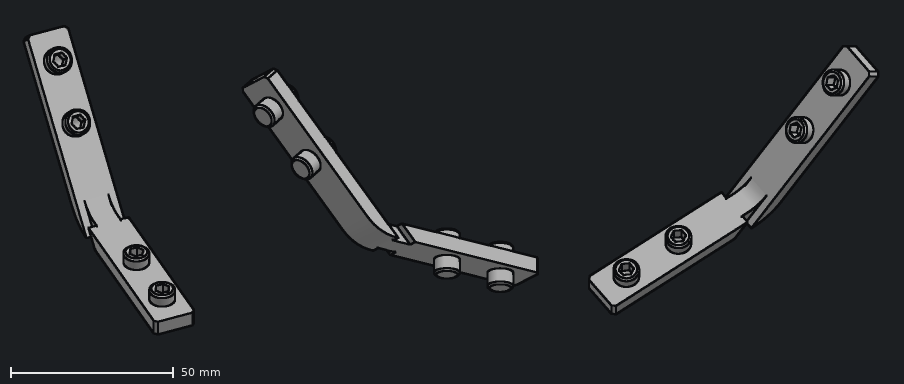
import cadquery as cq
import math

bend_angle = 45.0
total_length = 102.4
bar_width = 13.5
bar_thickness = 5.0
inner_bend_radius = 10.0
end_chamfer = 1.0

neck_width = 8.0
relief_width = 4.5

screw_diameter = 8.0
screw_tip_diameter = 6.7
screw_length = 14.0
screw_rise = 4.0
screw_end_distance = 10.0
screw_spacing = 20.0
socket_flats = 4.0
socket_depth = 4.0
socket_cone_angle = 118.0
hexagon_sides = 6

cos_bend = math.cos(math.radians(bend_angle))
sin_bend = math.sin(math.radians(bend_angle))
leg_length = (total_length - bar_thickness * sin_bend) / (1 + cos_bend)
outer_bend_radius = inner_bend_radius + bar_thickness
screw_chamfer = (screw_diameter - screw_tip_diameter) / 2
outer_screw_distance = leg_length - screw_end_distance
screw_distances = [outer_screw_distance - screw_spacing, outer_screw_distance]


def tilt(body):
    """Swing a body about the bend line, from the flat leg's plane to the tilted leg's plane."""
    return body.rotate((0, 0, 0), (0, 1, 0), bend_angle)


def arm_point(along, below):
    """XZ point on the tilted leg, measured along its inner face and below it."""
    return (-along * cos_bend - below * sin_bend, along * sin_bend - below * cos_bend)


def make_bend_profile():
    """Side outline of the bar, extruded over its width."""
    tangent_length = inner_bend_radius * math.tan(math.radians(bend_angle / 2))
    half_angle = math.radians(bend_angle / 2)

    def arc_middle(radius):
        return (
            tangent_length - radius * math.sin(half_angle),
            inner_bend_radius - radius * math.cos(half_angle),
        )

    return (
        cq.Workplane("XZ")
        .moveTo(leg_length, 0)
        .lineTo(tangent_length, 0)
        .threePointArc(arc_middle(inner_bend_radius), arm_point(tangent_length, 0))
        .lineTo(*arm_point(leg_length, 0))
        .lineTo(*arm_point(leg_length, bar_thickness))
        .lineTo(*arm_point(tangent_length, bar_thickness))
        .threePointArc(arc_middle(outer_bend_radius), (tangent_length, -bar_thickness))
        .lineTo(leg_length, -bar_thickness)
        .close()
        .extrude(bar_width / 2, both=True)
    )


def make_relief_cuts():
    """Slots parallel to the tilted leg, starting at its inner face, that leave a central neck."""
    slot_length = 2 * outer_bend_radius
    slot = tilt(
        cq.Workplane("XY").box(slot_length, bar_width, relief_width, centered=(True, True, False))
    )
    neck = cq.Workplane("XY").box(2 * slot_length, neck_width, 2 * slot_length)
    return slot.cut(neck)


def make_bracket():
    """Bent bar with chamfered end corners, relief cuts and a fitting hole for each screw."""
    bracket = make_bend_profile()
    bracket = bracket.faces(">X").edges("|Z").chamfer(end_chamfer)
    arm_end = cq.Vector(-cos_bend, 0, sin_bend)
    arm_normal = cq.Vector(sin_bend, 0, cos_bend)
    bracket = (
        bracket.faces(cq.selectors.DirectionMinMaxSelector(arm_end))
        .edges(cq.selectors.ParallelDirSelector(arm_normal))
        .chamfer(end_chamfer)
    )
    bracket = bracket.cut(make_relief_cuts())
    for distance in screw_distances:
        screw_blank = make_screw_blank()
        bracket = bracket.cut(screw_blank.translate((distance, 0, 0)))
        bracket = bracket.cut(tilt(screw_blank.translate((-distance, 0, 0))))
    return bracket


def make_screw_blank():
    """Chamfered cylinder standing through a leg whose inner face is at Z = 0."""
    return (
        cq.Workplane("XY", origin=(0, 0, screw_rise - screw_length))
        .circle(screw_diameter / 2)
        .extrude(screw_length)
        .faces("<Z or >Z")
        .chamfer(screw_chamfer)
    )


def make_socket():
    """Hexagonal socket with a conical floor and two corners along Y."""
    corner_radius = socket_flats / math.sqrt(3)
    cone_height = corner_radius / math.tan(math.radians(socket_cone_angle / 2))
    floor = screw_rise - socket_depth
    hexagon = (
        cq.Workplane("XY", origin=(0, 0, floor))
        .transformed(rotate=(0, 0, 90))
        .polygon(hexagon_sides, 2 * corner_radius)
        .extrude(socket_depth)
    )
    cone = cq.Workplane(
        cq.Solid.makeCone(
            corner_radius, 0, cone_height, pnt=cq.Vector(0, 0, floor), dir=cq.Vector(0, 0, -1)
        )
    )
    tip = cone.intersect(hexagon.translate((0, 0, -socket_depth)))
    return hexagon.union(tip)


def make_screw():
    """Set screw with its socket on the inner side of the bend."""
    return make_screw_blank().cut(make_socket())


bracket = make_bracket()

set_screws = []
for distance in screw_distances:
    set_screws.append(make_screw().translate((distance, 0, 0)))
    set_screws.append(tilt(make_screw().translate((-distance, 0, 0))))

result = cq.Compound.makeCompound([bracket.val(), *[screw.val() for screw in set_screws]])